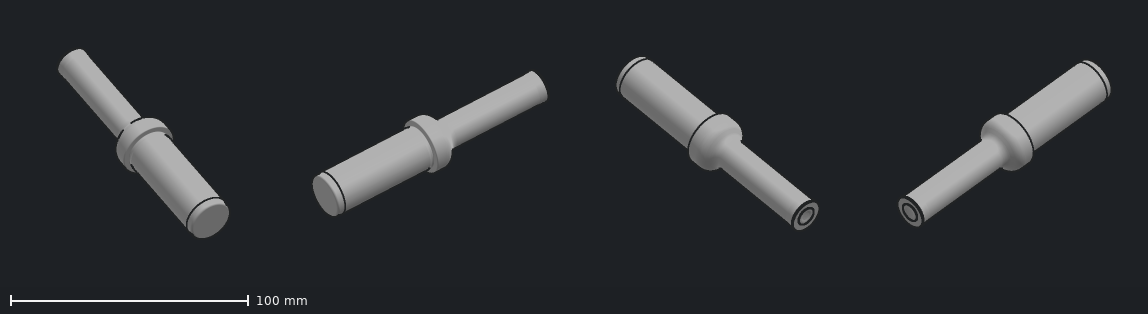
import cadquery as cq
import math

overall_length = 111.98
shank_length = 50.0
nose_length = overall_length - shank_length
nose_end = -nose_length

nose_radius = 14.43 / 2
nose_tip_radius = 15.1 / 2
tip_length = 4.75
tip_chamfer_length = 0.7
tip_chamfer_depth = 0.2

collar_radius = 25.0 / 2
collar_land = 5.2
collar_edge_fillet = 0.5
flank_foot_arc_radius = 4.5
flank_top_arc_radius = 5.0
flank_angle = math.radians(52)

shank_radius = 20.0 / 2
relief_radius = 19.5 / 2
relief_depth = shank_radius - relief_radius
groove_length = 0.8
groove_blend_length = 0.4
groove_angle = math.radians(15)
end_land_length = 3.0
end_blend_length = 0.3
end_angle = math.radians(30)
shank_end_fillet = 1.0

pin_radius = 8.5 / 2
pin_length = 20.0
pin_chamfer = 0.25
dish_rim_radius = 2.9
dish_wall_top_radius = 2.6
dish_wall_foot_radius = 1.85
dish_floor_radius = 0.85
dish_rim_angle = math.radians(8)
dish_wall_angle = math.radians(15)
dish_floor_angle = math.radians(5)


def revolve_about_x(profile):
    """Turn an (X, radius) profile into a solid of revolution."""
    return profile.close().revolve(360, (0, 0, 0), (1, 0, 0))


def arc_rise(run, angle):
    """Rise of an arc that starts along X and turns by angle over the given run."""
    return run * math.tan(angle / 2)


def rounded_corner(profile, radius, corner_x, corner_radius):
    """Draw a quarter round from the cylinder at corner_radius to the flat face at corner_x."""
    inset = radius * (1 - math.sqrt(0.5))
    return profile.lineTo(corner_x - radius, corner_radius).threePointArc(
        (corner_x - inset, corner_radius - inset),
        (corner_x, corner_radius - radius),
    )


def flank_arc(radius):
    """Return run, rise, and mid-point run and rise of an arc that turns by the flank angle."""
    run = radius * math.sin(flank_angle)
    mid_run = radius * math.sin(flank_angle / 2)
    return run, arc_rise(run, flank_angle), mid_run, arc_rise(mid_run, flank_angle / 2)


def add_flank(profile):
    """Draw the rise from the nose stem up to the collar land."""
    foot_run, foot_rise, foot_mid_run, foot_mid_rise = flank_arc(flank_foot_arc_radius)
    top_run, top_rise, top_mid_run, top_mid_rise = flank_arc(flank_top_arc_radius)
    cone_run = (collar_radius - nose_radius - foot_rise - top_rise) / math.tan(flank_angle)

    top = -collar_land
    cone_top = top - top_run
    cone_foot = cone_top - cone_run
    foot = cone_foot - foot_run
    return (
        profile.lineTo(foot, nose_radius)
        .threePointArc(
            (foot + foot_mid_run, nose_radius + foot_mid_rise),
            (cone_foot, nose_radius + foot_rise),
        )
        .lineTo(cone_top, collar_radius - top_rise)
        .threePointArc((top - top_mid_run, collar_radius - top_mid_rise), (top, collar_radius))
    )


def taper_run(blend_length, angle):
    """Length of the cone between the blend at the relief diameter and the shank diameter."""
    return (relief_depth - arc_rise(blend_length, angle)) / math.tan(angle)


def blend_mid_point(blend_length, angle):
    """Run and rise to the middle of a blend arc, from its tangent point on the relief diameter."""
    mid_run = blend_length * math.sin(angle / 2) / math.sin(angle)
    return mid_run, arc_rise(mid_run, angle / 2)


def add_groove(profile):
    """Draw the relief groove, from its corner round at the collar up to the shank diameter."""
    inset = relief_depth * (1 - math.sqrt(0.5))
    mid_run, mid_rise = blend_mid_point(groove_blend_length, groove_angle)
    blend_end = groove_length + groove_blend_length
    return (
        profile.lineTo(0, shank_radius)
        .threePointArc((inset, relief_radius + inset), (relief_depth, relief_radius))
        .lineTo(groove_length, relief_radius)
        .threePointArc(
            (groove_length + mid_run, relief_radius + mid_rise),
            (blend_end, relief_radius + arc_rise(groove_blend_length, groove_angle)),
        )
        .lineTo(blend_end + taper_run(groove_blend_length, groove_angle), shank_radius)
    )


def add_end_step(profile):
    """Draw the step from the shank diameter down to the end land."""
    mid_run, mid_rise = blend_mid_point(end_blend_length, end_angle)
    land_start = shank_length - end_land_length
    cone_foot = land_start - end_blend_length
    return (
        profile.lineTo(cone_foot - taper_run(end_blend_length, end_angle), shank_radius)
        .lineTo(cone_foot, relief_radius + arc_rise(end_blend_length, end_angle))
        .threePointArc((land_start - mid_run, relief_radius + mid_rise), (land_start, relief_radius))
    )


def make_body():
    profile = (
        cq.Workplane("XY")
        .moveTo(nose_end, 0)
        .lineTo(nose_end, nose_tip_radius - tip_chamfer_depth)
        .lineTo(nose_end + tip_chamfer_length, nose_tip_radius)
        .lineTo(nose_end + tip_length, nose_radius)
    )
    profile = add_flank(profile)
    profile = rounded_corner(profile, collar_edge_fillet, 0, collar_radius)
    profile = add_groove(profile)
    profile = add_end_step(profile)
    profile = rounded_corner(profile, shank_end_fillet, shank_length, relief_radius)
    profile = profile.lineTo(shank_length, 0)

    bore = cq.Workplane("YZ", origin=(nose_end, 0, 0)).circle(pin_radius).extrude(pin_length)
    return revolve_about_x(profile).cut(bore)


def make_pin():
    wall_top = nose_end + (dish_rim_radius - dish_wall_top_radius) * math.tan(dish_rim_angle)
    wall_foot = wall_top + (dish_wall_top_radius - dish_wall_foot_radius) * math.tan(dish_wall_angle)
    floor = wall_foot + (dish_wall_foot_radius - dish_floor_radius) * math.tan(dish_floor_angle)
    profile = (
        cq.Workplane("XY")
        .moveTo(floor, 0)
        .lineTo(floor, dish_floor_radius)
        .lineTo(wall_foot, dish_wall_foot_radius)
        .lineTo(wall_top, dish_wall_top_radius)
        .lineTo(nose_end, dish_rim_radius)
        .lineTo(nose_end, pin_radius - pin_chamfer)
        .lineTo(nose_end + pin_chamfer, pin_radius)
        .lineTo(nose_end + pin_length, pin_radius)
        .lineTo(nose_end + pin_length, 0)
    )
    return revolve_about_x(profile)


body = make_body()
pin = make_pin()
result = cq.Compound.makeCompound([body.val(), pin.val()])